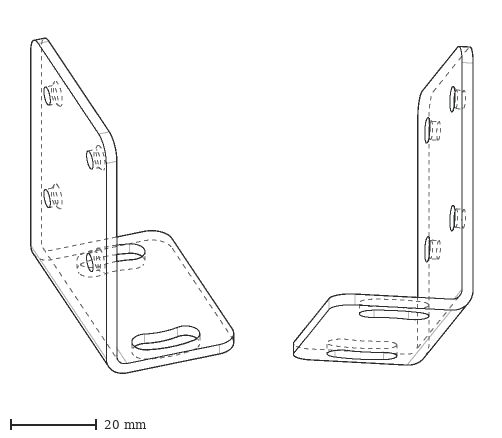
import cadquery as cq
import math

width = 50.8
depth = 33.27
height = 65.02

thickness = 2.66
inner_bend_radius = 2.54
outer_bend_radius = inner_bend_radius + thickness
corner_radius = 5.08

hole_diameter = 4.33
hole_spacing = 28.72
hole_pattern_z = 39.62
hole_chamfer = 0.81

slot_circle_radius = 19.05
slot_circle_y = 17.4
slot_width = 6.6
slot_half_angle = 15.0

cut_margin = 1.0


def bent_sheet():
    """L-shaped sheet: front face at y = 0, underside of the foot at z = 0."""
    arc_factor = math.sqrt(0.5)
    outer_mid = outer_bend_radius * (1 - arc_factor)
    inner_mid = outer_bend_radius - inner_bend_radius * arc_factor
    return (
        cq.Workplane("YZ")
        .moveTo(depth, 0)
        .lineTo(outer_bend_radius, 0)
        .threePointArc((outer_mid, outer_mid), (0, outer_bend_radius))
        .lineTo(0, height)
        .lineTo(thickness, height)
        .lineTo(thickness, outer_bend_radius)
        .threePointArc((inner_mid, inner_mid), (outer_bend_radius, thickness))
        .lineTo(depth, thickness)
        .close()
        .extrude(width / 2, both=True)
    )


def round_free_corners(body):
    """Round the two top corners of the upright and the two far corners of the foot."""
    body = body.faces(">Z").edges("|Y").fillet(corner_radius)
    return body.faces(">Y").edges("|Z").fillet(corner_radius)


def hole_pattern(y):
    """Centres of the four upright holes, on a plane facing -Y at the given y."""
    plane = cq.Workplane("XZ", origin=(0, y, hole_pattern_z))
    return plane.rarray(hole_spacing, hole_spacing, 2, 2)


def upright_holes():
    """Four through holes, each with a 45 degree chamfer on the inner face."""
    bores = (
        hole_pattern(thickness + cut_margin)
        .circle(hole_diameter / 2)
        .extrude(thickness + 2 * cut_margin)
    )
    chamfers = (
        hole_pattern(thickness)
        .circle(hole_diameter / 2 + hole_chamfer)
        .extrude(hole_chamfer, taper=45)
    )
    return bores.union(chamfers)


def curved_slot(side):
    """Arc slot with round ends on the -X (side = -1) or +X (side = 1) part of the foot."""
    end_radius = slot_width / 2
    inner_radius = slot_circle_radius - end_radius
    outer_radius = slot_circle_radius + end_radius

    def polar(radius, angle, tangent_offset=0.0):
        """Point on the slot circle's radial line, shifted along the tangent."""
        turn = math.radians(angle)
        x = radius * math.cos(turn) - tangent_offset * math.sin(turn)
        y = radius * math.sin(turn) + tangent_offset * math.cos(turn)
        return (side * x, y)

    return (
        cq.Workplane("XY", origin=(0, slot_circle_y, -cut_margin))
        .moveTo(*polar(outer_radius, -slot_half_angle))
        .threePointArc(polar(outer_radius, 0), polar(outer_radius, slot_half_angle))
        .threePointArc(
            polar(slot_circle_radius, slot_half_angle, end_radius),
            polar(inner_radius, slot_half_angle),
        )
        .threePointArc(polar(inner_radius, 0), polar(inner_radius, -slot_half_angle))
        .threePointArc(
            polar(slot_circle_radius, -slot_half_angle, -end_radius),
            polar(outer_radius, -slot_half_angle),
        )
        .close()
        .extrude(thickness + 2 * cut_margin)
    )


bracket = round_free_corners(bent_sheet())
bracket = bracket.cut(upright_holes())
for slot_side in (-1, 1):
    bracket = bracket.cut(curved_slot(slot_side))

result = bracket